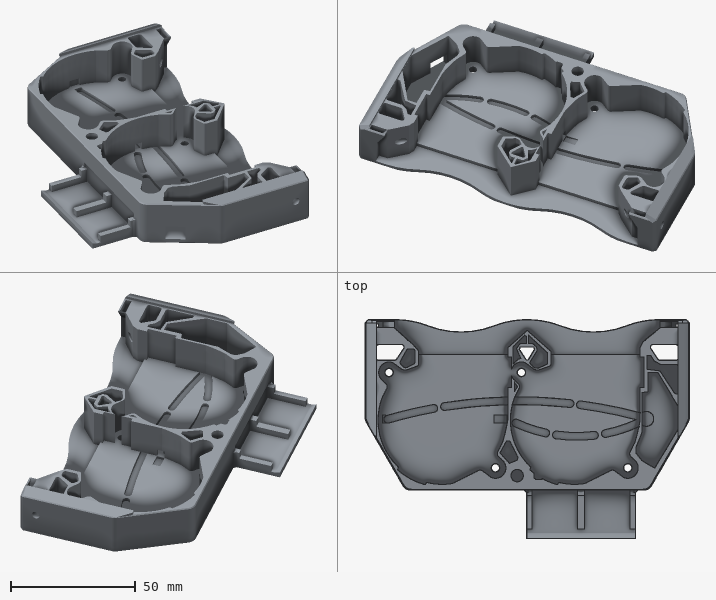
import cadquery as cq
import math

half_width = 65.0
body_depth = 68.4
body_height = 18.6
floor_top = 3.2
back_floor_top = 1.5
step_y = 54.3
edge_break = 0.4
clearance = 1.3
pitch = 53.0

skirt_angle = 60.0
front_half_width = 48.8
skirt_rise = (half_width - front_half_width) * math.tan(math.radians(skirt_angle))
corner_radius = 3.9
back_corner = 1.3

wave_depth = 5.0

pocket_x = -34.0
pocket_y = 28.1
disc_radius = 25.7
relief_radius = 26.8
boss_x = 21.3
boss_y = 19.1
boss_radius = 4.2
screw_hole = 3.2
shelf_fillet = 2.6
waist_fillet = 1.5
side_fillet = 1.0
pocket_left = -9.5
pocket_right = 26.3
pocket_back = step_y - pocket_y

window_fillet = 1.0
small_pocket_floor = 2.0

bore_x = -4.0
bore_y = 5.8
bore_diameter = 5.0
side_hole_y = 61.6
side_hole_z = 10.0
side_hole_diameter = 3.2
side_hole_length = 20.8

groove_width = 3.1
groove_depth = 1.5
groove_end_x = 47.7
groove_end_y = 28.6
groove_end_diameter = 6.0
back_groove_radius = 188.5
back_groove_x = -3.5
back_groove_y = 35.9
front_groove_radius = 58.5
front_groove_x = 19.9
front_groove_y = 21.6

passage_front = 26.9
passage_back = 30.2
passage_top = 6.5

tray_left = -0.3
tray_right = 43.4
tray_depth = 19.4
tray_floor = 2.0
tray_root = 0.6
tray_lip_top = 2.6
tray_lip_width = 2.1
rib_reach = 15.6
rib_height = 5.0
rib_root_reach = 2.1
rib_root_height = 7.9
edge_rib_width = 2.2
middle_rib_width = 2.7
flare = 0.9
flare_height = 8.2
recess_inset = 0.6
recess_top = 10.4
recess_depth = 0.5

lip_inner = 60.3
lip_top = 20.5
lip_tip = 1.2
lip_foot = 62.1
lip_end_y = 21.6
lip_bevel = 1.3

clip_inner = 53.3
clip_outer = lip_inner
clip_front = 65.1
rim_front = 67.6


def prism(points, bottom, top):
    """Upright prism with a polygon as its plan."""
    return cq.Workplane("XY", origin=(0, 0, bottom)).polyline(points).close().extrude(top - bottom)


def box(x0, x1, y0, y1, z0, z1):
    return cq.Workplane("XY").box(x1 - x0, y1 - y0, z1 - z0, centered=False).translate((x0, y0, z0))


def mirrored(points):
    return [(-x, y) for x, y in points]


def both_sides(solid):
    return solid.union(solid.mirror("YZ"))


def polar(radius, degrees):
    angle = math.radians(degrees)
    return (radius * math.cos(angle), radius * math.sin(angle))


def outer_prism(height):
    """Outer plan: a rectangle with slanted front corners."""
    half = [(half_width, skirt_rise), (half_width, body_depth)]
    plan = [(-front_half_width, 0), (front_half_width, 0)] + half + mirrored(half[::-1])
    solid = prism(plan, 0, height)
    reach = half_width + clearance
    front = cq.selectors.BoxSelector((-reach, -clearance, -clearance), (reach, skirt_rise + clearance, reach))
    solid = solid.edges("|Z").edges(front).fillet(corner_radius)
    return solid.edges("|Z").edges(">Y").chamfer(back_corner)


def wavy_trim():
    """Everything behind the wavy back edge of the floor."""
    middle = body_depth - wave_depth / 2
    quarter = pitch / 4
    rise = wave_depth / 2
    wave_radius = (quarter**2 + rise**2) / (2 * rise)
    edge = cq.Workplane("XY").moveTo(-pitch, body_depth)
    for start in (-pitch, 0):
        edge = edge.radiusArc((start + quarter, middle), wave_radius)
        edge = edge.radiusArc((start + 3 * quarter, middle), -wave_radius)
        edge = edge.radiusArc((start + pitch, body_depth), wave_radius)
    beyond = body_depth + clearance
    return edge.lineTo(pitch, beyond).lineTo(-pitch, beyond).close().extrude(lip_top)


def gear_pocket():
    """Pocket for one gear, centred on the gear axis."""
    wall_offset = 27.8
    notch_front, notch_back = 13.1, 25.2
    side_end = 21.8
    boss = (-boss_x, boss_y)
    boss_out = (-19.8, 23.0)
    boss_in = (-24.5, 16.4)
    waist = (-21.7, 13.8)
    shelf = (-15.3, 19.8)
    rim_left = polar(disc_radius, 160)
    relief_start, relief_end = 227, 256
    ramp = 1
    rim_end = 279
    relief_middle = (relief_start + relief_end) / 2

    def turned(point):
        return (-point[0], -point[1])

    outline = (
        cq.Workplane("XY", origin=(0, 0, floor_top))
        .moveTo(pocket_left, pocket_back)
        .lineTo(pocket_left, side_end)
        .lineTo(*shelf)
        .lineTo(*boss_out)
        .threePointArc((boss[0] - boss_radius, boss[1]), boss_in)
        .lineTo(*waist)
        .lineTo(*rim_left)
        .threePointArc(polar(disc_radius, 195), polar(disc_radius, relief_start))
        .lineTo(*polar(relief_radius, relief_start + ramp))
        .threePointArc(polar(relief_radius, relief_middle), polar(relief_radius, relief_end - ramp))
        .lineTo(*polar(disc_radius, relief_end))
        .threePointArc(polar(disc_radius, (relief_end + rim_end) / 2), polar(disc_radius, rim_end))
        .lineTo(*turned(shelf))
        .lineTo(*turned(boss_out))
        .threePointArc((boss_radius - boss[0], -boss[1]), turned(boss_in))
        .lineTo(*turned(waist))
        .lineTo(*turned(rim_left))
        .threePointArc(polar(disc_radius, -10), (pocket_right, 0))
        .lineTo(pocket_right, notch_front)
        .lineTo(wall_offset, notch_front)
        .lineTo(wall_offset, notch_back)
        .lineTo(pocket_right, notch_back)
        .lineTo(pocket_right, pocket_back)
        .close()
    )
    pocket = outline.extrude(lip_top)
    for corner, radius in (
        (shelf, shelf_fillet),
        (waist, waist_fillet),
        (turned(shelf), waist_fillet),
        (turned(waist), waist_fillet),
        ((pocket_left, side_end), side_fillet),
    ):
        edge = cq.selectors.NearestToPointSelector((*corner, floor_top + lip_top / 2))
        pocket = pocket.edges("|Z").edges(edge).fillet(radius)
    return pocket


def back_openings():
    """Open areas between the corner blocks and the centre post."""
    beyond = body_depth + clearance
    post_tip = (0, 64.1)
    left_block = pocket_x + pocket_left
    left = [(left_block, step_y), (left_block, 55.9), (-45.9, 58.5), (-clip_inner, clip_front)]
    post_left = pocket_x + pocket_right
    left += [(-clip_inner, beyond), (0, beyond), post_tip, (post_left, 57.1), (post_left, step_y)]
    post_right = left_block + pitch
    right = [(post_right, step_y), (post_right, 55.6), post_tip, (0, beyond), (clip_inner, beyond)]
    right_block = post_left + pitch
    right += [(clip_inner, clip_front), (46.4, 59.5), (right_block, 57.2), (right_block, step_y)]
    return prism(left, back_floor_top, lip_top).union(prism(right, back_floor_top, lip_top))


def centre_post_pockets():
    """Weight-saving pockets and the through window of the centre post."""
    left = [(-5.7, 57.5), (-1.0, 62.1), (-0.4, 61.6), (-0.4, 58.8), (-2.9, 58.8), (-4.3, 56.8)]
    left += [(-2.6, 52.8), (-3.6, 52.5), (-5.7, 50.6)]
    right = [(0.5, 62.1), (8.0, 55.1), (8.0, 50.6), (4.3, 48.9), (2.7, 49.1), (0.9, 51.1)]
    right += [(3.9, 55.8), (3.8, 57.3), (2.2, 58.8), (0.5, 58.8)]
    beak = [(-5.2, 43.3), (-3.9, 41.6), (-5.2, 39.5)]
    cut = prism(left, small_pocket_floor, lip_top).union(prism(right, small_pocket_floor, lip_top))
    window = [(-2.9, 57.3), (2.6, 57.3), (2.9, 56.4), (0.4, 52.3), (-0.4, 52.3), (-3.1, 56.4)]
    return cut.union(prism(beak, small_pocket_floor, lip_top)).union(prism(window, -clearance, lip_top))


def divider_pocket():
    plan = [(-8.3, 19.8), (-7.0, 19.8), (-3.8, 13.3), (-3.9, 12.1), (-7.2, 10.8), (-10.9, 15.0)]
    return prism(plan, small_pocket_floor, lip_top)


def corner_windows():
    """Through windows of both corner blocks."""
    plan = [(60.6, 58.4), (48.5, 58.4), (52.6, 52.1), (60.6, 52.1)]
    return both_sides(prism(plan, -clearance, lip_top).edges("|Z").fillet(window_fillet))


def left_block_pocket():
    plan = [(-48.1, 56.7), (-45.0, 56.7), (-45.0, 50.8), (-48.9, 48.9), (-51.2, 51.0)]
    return prism(plan, small_pocket_floor, lip_top).edges("|Z").fillet(window_fillet)


def right_block_pockets():
    back = [(48.0, 54.1), (49.4, 54.1), (50.8, 51.9), (53.3, 50.5), (60.6, 50.5), (60.6, 38.5)]
    back += [(59.2, 38.7), (53.2, 47.8), (48.0, 48.5)]
    front = [(48.5, 47.2), (52.4, 47.2), (60.6, 33.4), (60.6, 24.6), (51.1, 8.8), (46.0, 11.8)]
    front += [(43.5, 15.0), (43.5, 17.0), (46.0, 23.3), (46.0, 39.1), (48.5, 39.5)]
    rear = prism(back, small_pocket_floor, lip_top).edges("|Z").edges(">(1, 1, 0)").fillet(window_fillet)
    return rear.union(prism(front, small_pocket_floor, lip_top))


def skirt_window():
    """Rectangular opening through the right slanted wall."""
    length, depth, top = 8.0, 2.9, 7.9
    start_x = 53.5
    middle_x = start_x + length / 2 * math.cos(math.radians(skirt_angle))
    middle_y = (middle_x - front_half_width) * math.tan(math.radians(skirt_angle))
    window = box(-length / 2, length / 2, -depth, depth, small_pocket_floor, top)
    return window.rotate((0, 0, 0), (0, 0, 1), skirt_angle).translate((middle_x, middle_y, 0))


def screw_holes():
    points = [
        (pocket_x + n * pitch + side * boss_x, pocket_y - side * boss_y)
        for n in (0, 1)
        for side in (-1, 1)
    ]
    return cq.Workplane("XY").pushPoints(points).circle(screw_hole / 2).extrude(lip_top)


def top_bore():
    """Blind bore in the front wall, as deep as the gear pockets."""
    bore = cq.Workplane("XY", origin=(bore_x, bore_y, floor_top))
    return bore.circle(bore_diameter / 2).extrude(lip_top)


def side_hole():
    """Cross hole through the left corner block, behind its window."""
    hole = cq.Workplane("YZ", origin=(-half_width, side_hole_y, side_hole_z))
    return hole.circle(side_hole_diameter / 2).extrude(side_hole_length)



def groove(centre, radius, start_x, end_x, side):
    """Round-ended groove along a circle, on its back (side 1) or front (side -1) half."""

    def on_arc(x, offset):
        direction = (x - centre[0]) / radius
        r = radius + offset
        return (centre[0] + r * direction, centre[1] + side * r * math.sqrt(1 - direction**2))

    half = groove_width / 2
    middle_x = (start_x + end_x) / 2
    band = (
        cq.Workplane("XY", origin=(0, 0, floor_top - groove_depth))
        .moveTo(*on_arc(start_x, half))
        .threePointArc(on_arc(middle_x, half), on_arc(end_x, half))
        .lineTo(*on_arc(end_x, -half))
        .threePointArc(on_arc(middle_x, -half), on_arc(start_x, -half))
        .close()
        .extrude(groove_depth)
    )
    ends = cq.Workplane("XY", origin=(0, 0, floor_top - groove_depth))
    ends = ends.pushPoints([on_arc(start_x, 0), on_arc(end_x, 0)]).circle(half).extrude(groove_depth)
    return band.union(ends)


def grooves():
    back_centre = (back_groove_x, back_groove_y - back_groove_radius)
    front_centre = (front_groove_x, front_groove_y + front_groove_radius)
    bottom = floor_top - groove_depth
    end = cq.Workplane("XY", origin=(groove_end_x, groove_end_y, bottom))
    cut = end.circle(groove_end_diameter / 2).extrude(groove_depth)
    for start_x, end_x in ((-55.9, -37.5), (-33.2, 17.2), (21.3, groove_end_x)):
        cut = cut.union(groove(back_centre, back_groove_radius, start_x, end_x, 1))
    for start_x, end_x in ((-4.5, 7.4), (11.7, 26.9), (31.3, groove_end_x)):
        cut = cut.union(groove(front_centre, front_groove_radius, start_x, end_x, -1))
    return cut


def ramp_pit(shallow_x, deep_x, shallow, deep):
    """Pit in the floor with a sloping bottom, on the line of the wall openings."""
    length = passage_back - passage_front
    profile = [(shallow_x, floor_top), (shallow_x, floor_top - shallow)]
    profile += [(deep_x, floor_top - deep), (deep_x, floor_top)]
    return cq.Workplane("XZ", origin=(0, passage_back, 0)).polyline(profile).close().extrude(length)


def wall_passages():
    """Low openings through the divider and into the left wall, with the pits before them."""
    divider = box(-8.0, -6.5, passage_front, passage_back, floor_top, passage_top)
    divider = divider.union(ramp_pit(-13.4, -8.0, 0.5, 1.2))
    left_wall = box(-60.5, -59.0, passage_front - 1.3, passage_back, floor_top, passage_top)
    return divider.union(left_wall).union(ramp_pit(-56.8, -58.0, 0.3, groove_depth))


def wall_notch():
    """Small notch in the front wall of the right gear pocket."""
    return prism([(2.7, 6.8), (2.7, 5.0), (3.4, 4.3), (5.8, 4.3), (5.8, 6.8)], floor_top, lip_top)



def side_lip():
    """Hooked lip along the right side, cut to the outer outline."""
    profile = [(half_width - edge_break, body_height), (lip_inner, lip_top)]
    profile += [(lip_inner, lip_top - lip_tip), (lip_foot, body_height)]
    bar = cq.Workplane("XZ", origin=(0, body_depth, 0)).polyline(profile).close()
    bar = bar.extrude(body_depth - lip_end_y)
    return bar.intersect(outer_prism(lip_top))


def lip_end_bevel():
    """Wedge that slants the back end of the right lip, parallel to its sloping top."""
    reach = half_width - lip_inner
    lip_rise = lip_top - body_height
    triangle = [(body_depth - lip_bevel, 0), (body_depth, 0), (body_depth, -lip_bevel)]
    wedge = cq.Workplane("YZ").polyline(triangle).close().extrude(-2 * reach)
    slope = math.degrees(math.atan2(lip_rise, reach - edge_break))
    wedge = wedge.rotate((0, 0, 0), (0, 1, 0), slope).translate((half_width - edge_break, 0, body_height))
    return wedge.intersect(box(lip_inner, half_width, 0, body_depth, 0, lip_top + clearance))


def clip_profile(y, points, length):
    return cq.Workplane("XZ", origin=(0, y, 0)).polyline(points).close().extrude(length)


def clip_cut():
    """Space above the ramp and below the barb of the right clip."""
    ramp_foot = (57.8, 13.0)
    above = [(clip_inner, body_height), ramp_foot, (clip_outer, 11.7), (clip_outer, body_height)]
    barb = [(clip_inner, back_floor_top), (clip_inner, 17.8), (57.1, 12.0), (57.1, back_floor_top)]
    slit = box(59.7, clip_outer, 65.5, 66.5, -clearance, lip_top)
    cut = clip_profile(rim_front, above, rim_front - clip_front)
    beyond = body_depth + clearance
    cut = cut.union(clip_profile(beyond, barb, beyond - clip_front))
    return cut.union(slit)


def tray():
    """Tray in front of the body, with stepped ribs and a ramped front edge."""
    width = tray_right - tray_left
    side = [(tray_root, 0), (tray_root, tray_floor), (-tray_depth + tray_lip_width, tray_floor)]
    side += [(-tray_depth, tray_lip_top), (-tray_depth, 0)]
    solid = cq.Workplane("YZ", origin=(tray_left, 0, 0)).polyline(side).close().extrude(width)
    rib = [(tray_root, 0), (tray_root, rib_root_height), (-rib_root_reach, rib_root_height)]
    rib += [(-rib_root_reach, rib_height), (-rib_reach, rib_height), (-rib_reach, 0)]
    middle = (tray_left + tray_right) / 2
    for left, thick in (
        (tray_left, edge_rib_width),
        (middle - middle_rib_width / 2, middle_rib_width),
        (tray_right - edge_rib_width, edge_rib_width),
    ):
        solid = solid.union(cq.Workplane("YZ", origin=(left, 0, 0)).polyline(rib).close().extrude(thick))
    flares = [(tray_left - flare, tray_root), (tray_left - flare, 0), (tray_left, -flare)]
    flares += [(tray_left + recess_inset, -flare), (tray_left + recess_inset, tray_root)]
    right_flare = [(tray_left + tray_right - x, y) for x, y in flares]
    return solid.union(prism(flares, 0, flare_height)).union(prism(right_flare, 0, flare_height))


def tray_recess():
    """Shallow recess in the front wall above the tray."""
    return box(tray_left + recess_inset, tray_right - recess_inset, 0, recess_depth, tray_floor, recess_top)



result = outer_prism(body_height).faces("<Z or >Z").edges().chamfer(edge_break)
for n in (0, 1):
    result = result.cut(gear_pocket().translate((pocket_x + n * pitch, pocket_y, 0)))
result = result.cut(back_openings()).cut(wavy_trim())
result = result.cut(centre_post_pockets()).cut(divider_pocket())
result = result.cut(corner_windows()).cut(left_block_pocket()).cut(right_block_pockets())
result = result.cut(skirt_window()).cut(screw_holes())
result = result.cut(grooves()).cut(wall_passages()).cut(wall_notch())
result = result.cut(top_bore()).cut(both_sides(side_hole()))
result = result.cut(both_sides(clip_cut())).union(both_sides(side_lip()))
result = result.cut(both_sides(lip_end_bevel()))
result = result.cut(tray_recess()).union(tray())